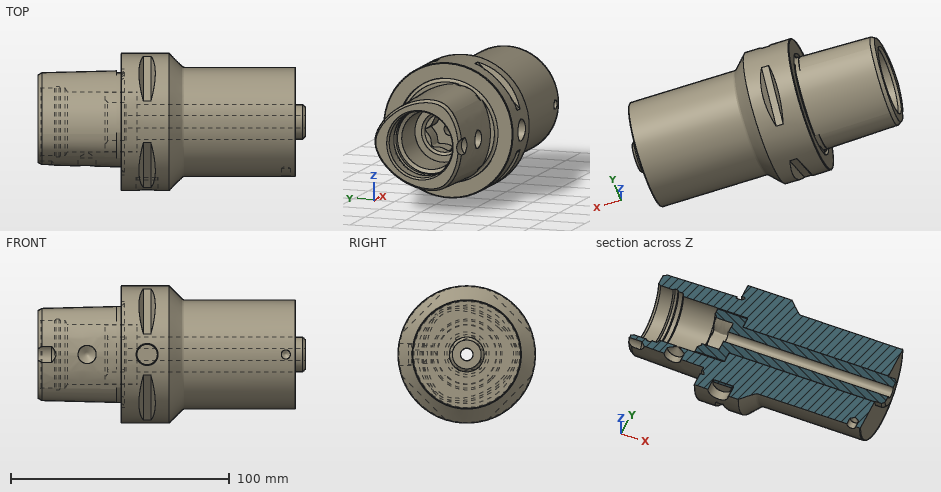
import cadquery as cq
import math


shank_chamfer_length = 1.8
shank_end = 36.0
flange_start = 38.0
flange_end = 60.0
barrel_end = 118.0
bolt_end = 122.5

polygon_radius = 22.0
polygon_offset = 1.41
taper_slope = 1 / 40
shank_chamfer_depth = 1.1
corner_half_angle = 26
points_per_segment = 9
neck_radius = 22.5
face_groove_width = 1.7

flange_radius = 31.5
barrel_radius = 25.0
rim_chamfer = 0.4
barrel_fillet = 1.2

bore_mouth_radius = 16.2
bore_radius = 15.4
bore_mouth_depth = 1.3
bore_groove_start = 7.6
bore_groove_end = 10.4
bore_groove_depth = 0.7
bore_cone_start = 12.5
bore_cone_end = 13.5
inner_bore_radius = 13.7

head_start = 30.6
head_length = 14.7
head_end = head_start + head_length
head_radius = 13.5
bolt_radius = 8.0
bolt_tip_chamfer = 1.3
recess_mouth_radius = 10.3
recess_radius = 9.1
recess_depth = 1.2
socket_tip_radius = 8.6
socket_valley_radius = 7.0
socket_depth = 8.6
socket_lobes = 6
socket_turn = 10
coolant_radius = 2.8

grip_x = 50.0
grip_angles = (45, 135, 225, 315)
grip_floor_height = 27.9
grip_floor_width = 3.4
grip_side_angle = 30
chip_pocket_radius = 5.0
chip_pocket_depth = 6.1
chip_radius = 4.7
chip_thickness = 1.2

drill_tip_angle = 118
shank_hole_x = 22.5
shank_hole_radius = 4.2
shank_hole_bottom = 16.4
barrel_hole_x = 113.4
barrel_hole_radius = 2.1
barrel_hole_bottom = 21.3

notch_radius = 4.9
notch_floor = 17.9
notch_length = 6.2


def turned(points):
    """Solid of revolution about X from (x, radius) points."""
    return cq.Workplane("XZ").polyline(points).close().revolve(360, (0, 0, 0), (1, 0, 0))


def rod(radius, x_start, x_end):
    return cq.Workplane("YZ", origin=(x_start, 0, 0)).circle(radius).extrude(x_end - x_start)


def polygon_point(x, mean_radius, degrees):
    """Point of a three-lobed curve of constant width, with one lobe toward +Y."""
    t = math.radians(degrees)
    e = polygon_offset
    y = mean_radius * math.cos(t) + 2 * e * math.cos(2 * t) - e * math.cos(4 * t)
    z = mean_radius * math.sin(t) - 2 * e * math.sin(2 * t) - e * math.sin(4 * t)
    return cq.Vector(x, y, z)


def polygon_wire(x, mean_radius):
    """Three rounded corners and three flanks, joined smoothly."""
    edges = []
    for corner in (0, 120, 240):
        breaks = (corner - corner_half_angle, corner + corner_half_angle, corner + 120 - corner_half_angle)
        for start, end in zip(breaks, breaks[1:]):
            step = (end - start) / (points_per_segment - 1)
            angles = [start + i * step for i in range(points_per_segment)]
            edges.append(cq.Edge.makeSpline([polygon_point(x, mean_radius, a) for a in angles]))
    return cq.Wire.assembleEdges(edges)


def polygon_prism(x_start, radius_start, x_end, radius_end):
    wires = [polygon_wire(x_start, radius_start), polygon_wire(x_end, radius_end)]
    return cq.Workplane(cq.Solid.makeLoft(wires, True))


def shank_radius(x):
    return polygon_radius - (flange_start - x) * taper_slope


def shank():
    """Tapered polygon with a chamfered end and a neck turned down behind it."""
    chamfer_end_radius = shank_radius(shank_chamfer_length)
    tip = polygon_prism(0, chamfer_end_radius - shank_chamfer_depth, shank_chamfer_length, chamfer_end_radius)
    taper = polygon_prism(shank_chamfer_length, chamfer_end_radius, shank_end, shank_radius(shank_end))
    neck = polygon_prism(shank_end, shank_radius(shank_end), flange_start, shank_radius(shank_end))
    neck = neck.intersect(rod(neck_radius, shank_end, flange_start))
    return tip.union(taper).union(neck)


def flange_and_barrel():
    cone_end = flange_end + flange_radius - barrel_radius
    body = turned([
        (flange_start, 0),
        (flange_start, flange_radius - rim_chamfer),
        (flange_start + rim_chamfer, flange_radius),
        (flange_end, flange_radius),
        (cone_end, barrel_radius),
        (barrel_end - rim_chamfer, barrel_radius),
        (barrel_end, barrel_radius - rim_chamfer),
        (barrel_end, 0),
    ])
    cone_edge = cq.selectors.BoxSelector(
        (cone_end - 0.1, -flange_radius, -flange_radius), (cone_end + 0.1, flange_radius, flange_radius)
    )
    return body.edges(cone_edge).fillet(barrel_fillet)


def face_groove():
    """Ring groove in the flange face, quarter round from its inner edge to its outer wall."""
    outer_radius = neck_radius + face_groove_width
    floor = flange_start + face_groove_width
    bend = face_groove_width * math.sqrt(0.5)
    return (
        cq.Workplane("XZ")
        .moveTo(flange_start, outer_radius)
        .lineTo(flange_start, neck_radius)
        .threePointArc((flange_start + bend, outer_radius - bend), (floor, outer_radius))
        .close()
        .revolve(360, (0, 0, 0), (1, 0, 0))
    )


def bore():
    """Stepped bore for the clamp and the bolt head, and the hole for the bolt."""
    groove_radius = bore_radius + bore_groove_depth
    return turned([
        (0, 0),
        (0, bore_mouth_radius),
        (bore_mouth_depth, bore_radius),
        (bore_groove_start, bore_radius),
        (bore_groove_start + bore_groove_depth, groove_radius),
        (bore_groove_end - bore_groove_depth, groove_radius),
        (bore_groove_end, bore_radius),
        (bore_cone_start, bore_radius),
        (bore_cone_end, inner_bore_radius),
        (head_end, inner_bore_radius),
        (head_end, bolt_radius),
        (barrel_end, bolt_radius),
        (barrel_end, 0),
    ])


def grip_groove(angle):
    """Straight groove across the flange rim, with sloping sides."""
    height = flange_radius - grip_floor_height
    half_floor = grip_floor_width / 2
    half_top = half_floor + height * math.tan(math.radians(grip_side_angle))
    return (
        cq.Workplane("XZ")
        .polyline([
            (grip_x - half_floor, grip_floor_height),
            (grip_x + half_floor, grip_floor_height),
            (grip_x + half_top, flange_radius),
            (grip_x - half_top, flange_radius),
        ])
        .close()
        .extrude(flange_radius, both=True)
        .rotate((0, 0, 0), (1, 0, 0), angle)
    )


def drilled_hole(x, radius, bottom):
    """Hole along Y from the -Y side, with a conical end."""
    tip_length = radius / math.tan(math.radians(drill_tip_angle / 2))
    return (
        cq.Workplane("XY", origin=(x, 0, 0))
        .polyline([(0, -flange_radius), (radius, -flange_radius), (radius, -bottom), (0, tip_length - bottom)])
        .close()
        .revolve(360, (0, 0, 0), (0, 1, 0))
    )


def chip_pocket():
    bottom = flange_radius - chip_pocket_depth
    return cq.Workplane("XZ", origin=(grip_x, -bottom, 0)).circle(chip_pocket_radius).extrude(chip_pocket_depth)


def key_notch():
    """Round notch along X with a 90 degree conical end."""
    notch = turned([(0, 0), (0, notch_radius), (notch_length, notch_radius), (notch_length + notch_radius, 0)])
    return notch.translate((0, -notch_floor - notch_radius, 0))


def make_housing():
    body = flange_and_barrel().cut(face_groove()).union(shank()).cut(bore())
    for angle in grip_angles:
        body = body.cut(grip_groove(angle))
    body = body.cut(chip_pocket()).cut(key_notch())
    body = body.cut(drilled_hole(shank_hole_x, shank_hole_radius, shank_hole_bottom))
    return body.cut(drilled_hole(barrel_hole_x, barrel_hole_radius, barrel_hole_bottom))


def socket():
    """Six-lobed wrench socket in the floor of the head recess."""
    points = []
    for i in range(2 * socket_lobes):
        angle = math.radians(socket_turn + i * 180 / socket_lobes)
        radius = socket_valley_radius if i % 2 else socket_tip_radius
        points.append((radius * math.cos(angle), radius * math.sin(angle)))
    floor = cq.Workplane("YZ", origin=(head_start + recess_depth, 0, 0))
    return floor.spline(points, periodic=True).close().extrude(socket_depth)


def make_bolt():
    body = turned([
        (head_start + recess_depth, 0),
        (head_start + recess_depth, recess_radius),
        (head_start, recess_mouth_radius),
        (head_start, head_radius),
        (head_end, head_radius),
        (head_end, bolt_radius),
        (bolt_end - bolt_tip_chamfer, bolt_radius),
        (bolt_end, bolt_radius - bolt_tip_chamfer),
        (bolt_end, 0),
    ])
    return body.cut(socket()).cut(rod(coolant_radius, head_start, bolt_end))


def make_chip():
    """Data chip lying on the floor of its pocket."""
    bottom = flange_radius - chip_pocket_depth
    return cq.Workplane("XZ", origin=(grip_x, -bottom, 0)).circle(chip_radius).extrude(chip_thickness)


housing = make_housing()
bolt = make_bolt()
chip = make_chip()

result = cq.Compound.makeCompound([housing.val(), bolt.val(), chip.val()])